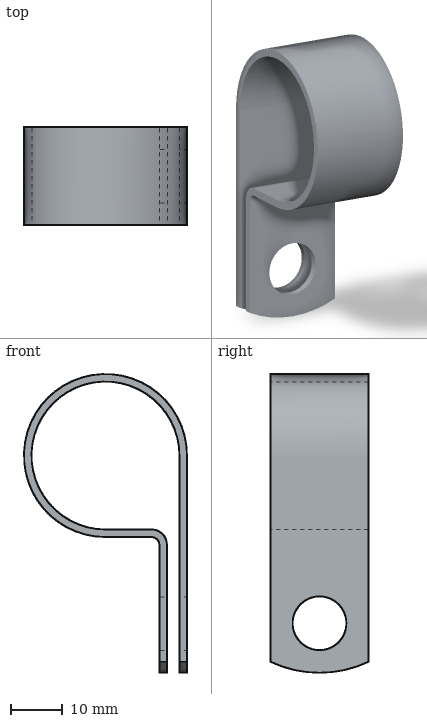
import cadquery as cq

height = 57.85
width = 19.05
loop_radius = 15.8
thickness = 1.5
leg_gap = 2.4
bend_inner_radius = 1.5
hole_diameter = 10.35
hole_drop = 48.25
tip_rise = 2.15

inner_radius = loop_radius - thickness
bend_outer_radius = bend_inner_radius + thickness
bottom_z = loop_radius - height
hole_z = loop_radius - hole_drop
short_leg_right = inner_radius - leg_gap
short_leg_left = short_leg_right - thickness
bend_x = short_leg_right - bend_outer_radius
bend_z = -inner_radius - bend_outer_radius


def make_strip():
    """Bent strip: long leg, three-quarter loop, bend and short leg."""
    return (
        cq.Workplane("XZ")
        .moveTo(loop_radius, bottom_z)
        .lineTo(loop_radius, 0)
        .tangentArcPoint((-loop_radius, 0), relative=False)
        .tangentArcPoint((0, -loop_radius), relative=False)
        .lineTo(bend_x, -loop_radius)
        .tangentArcPoint((short_leg_left, bend_z), relative=False)
        .lineTo(short_leg_left, bottom_z)
        .lineTo(short_leg_right, bottom_z)
        .lineTo(short_leg_right, bend_z)
        .tangentArcPoint((bend_x, -inner_radius), relative=False)
        .lineTo(0, -inner_radius)
        .tangentArcPoint((-inner_radius, 0), relative=False)
        .tangentArcPoint((inner_radius, 0), relative=False)
        .lineTo(inner_radius, bottom_z)
        .close()
        .extrude(width / 2, both=True)
    )


def make_side_envelope():
    """Block with the rounded lower end shared by both legs."""
    return (
        cq.Workplane("YZ")
        .moveTo(-width / 2, loop_radius)
        .lineTo(-width / 2, bottom_z + tip_rise)
        .threePointArc((0, bottom_z), (width / 2, bottom_z + tip_rise))
        .lineTo(width / 2, loop_radius)
        .close()
        .extrude(loop_radius, both=True)
    )


def make_bolt_hole():
    """Cutter that passes through both legs."""
    return (
        cq.Workplane("YZ")
        .center(0, hole_z)
        .circle(hole_diameter / 2)
        .extrude(loop_radius)
    )


result = make_strip().intersect(make_side_envelope()).cut(make_bolt_hole())